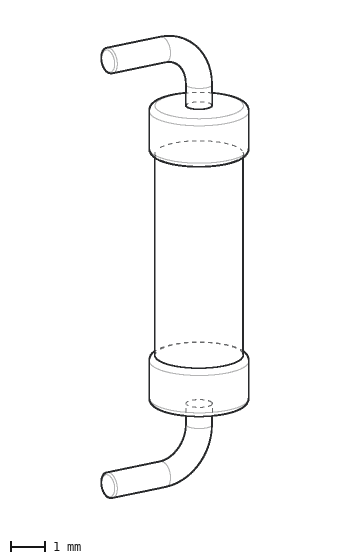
import cadquery as cq

overall_height = 13.46
cap_diameter = 2.85

body_diameter = 2.53
capped_length = 8.91
cap_length = 1.44
cap_edge_radius = 0.16

wire_diameter = 0.75
bend_radius = 1.27
lead_reach = 3.18
tip_radius = 0.05

lead_height = (overall_height - wire_diameter) / 2
bend_start = lead_height - bend_radius
cap_outer_face = capped_length / 2
cap_inner_face = cap_outer_face - cap_length


def end_cap():
    """Upper cap, rounded on both rims."""
    return (
        cq.Workplane("XY")
        .workplane(offset=cap_inner_face)
        .circle(cap_diameter / 2)
        .extrude(cap_length)
        .edges()
        .fillet(cap_edge_radius)
    )


def lead():
    """Upper lead: straight out of the cap, a quarter bend, then straight to the tip."""
    stub = (
        cq.Workplane("XY")
        .workplane(offset=cap_inner_face)
        .circle(wire_diameter / 2)
        .extrude(bend_start - cap_inner_face)
    )
    bend = (
        cq.Workplane("XY")
        .workplane(offset=bend_start)
        .circle(wire_diameter / 2)
        .revolve(90, (0, -bend_radius, 0), (1, -bend_radius, 0))
    )
    leg = (
        cq.Workplane("XZ", origin=(0, -bend_radius, lead_height))
        .circle(wire_diameter / 2)
        .extrude(lead_reach - bend_radius)
        .faces("<Y")
        .edges()
        .fillet(tip_radius)
    )
    return stub.union(bend).union(leg)


body = cq.Workplane("XY").circle(body_diameter / 2).extrude(cap_inner_face + cap_length / 2, both=True)
upper_end = end_cap().union(lead())
lower_end = upper_end.mirror("XY")

result = body.union(upper_end).union(lower_end)